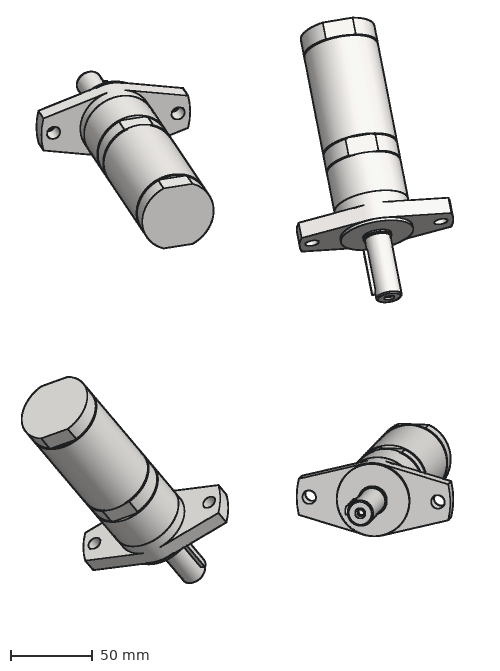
import cadquery as cq
import math

collar_start = 39.8
collar_step = 40.6
spigot_face = 41.9
flange_front = 43.8
flange_back = 54.1
housing_start = 61.8
waist_start = 87.9
waist_end = 100.1
tail_start = 165.8
overall_length = 177.5

shaft_diameter = 16.0
collar_small_diameter = 16.9
collar_large_diameter = 17.5
spigot_diameter = 45.0
flange_body_diameter = 45.8
housing_diameter = 46.0

ring_diameter = 45.0
ring_width = 0.5

across_flats = 42.0

shaft_chamfer = 0.9
center_hole_diameter = 4.0
center_hole_depth = 5.3
center_mouth_diameter = 6.4
drill_tip_angle = 118.0

key_start = 3.7
key_length = 30.0
key_width = 5.0
key_top = 10.0
key_bottom = 5.3

flange_span = 95.7
flange_side_angle = 15.0
bolt_hole_diameter = 8.3
bolt_hole_spacing = 80.0


def cylinder(start, end, diameter):
    """Solid cylinder on the X axis between two stations."""
    return cq.Workplane("YZ", origin=(start, 0, 0)).circle(diameter / 2).extrude(end - start)


def make_turned_body():
    """Shaft, collar, spigot, flange body and housing on one axis."""
    sections = [
        (collar_start, collar_step, collar_small_diameter),
        (collar_step, spigot_face, collar_large_diameter),
        (spigot_face, flange_front, spigot_diameter),
        (flange_front, housing_start, flange_body_diameter),
        (housing_start, overall_length, housing_diameter),
    ]
    body = cylinder(0, collar_start, shaft_diameter).faces("<X").chamfer(shaft_chamfer)
    for start, end, diameter in sections:
        body = body.union(cylinder(start, end, diameter))
    return body


def make_flange():
    """Diamond flange: sides tangent to the body, ends rounded about the motor axis."""
    thickness = flange_back - flange_front
    side_angle = math.radians(flange_side_angle)
    body_radius = flange_body_diameter / 2
    half_span = flange_span / 2
    tangent_y = body_radius * math.sin(side_angle)
    tangent_z = body_radius * math.cos(side_angle)
    tip_z = tangent_z - (half_span - tangent_y) * math.tan(side_angle)
    plane = cq.Workplane("YZ", origin=(flange_front, 0, 0))
    outline = [
        (tangent_y, tangent_z),
        (half_span, tip_z),
        (half_span, -tip_z),
        (tangent_y, -tangent_z),
        (-tangent_y, -tangent_z),
        (-half_span, -tip_z),
        (-half_span, tip_z),
        (-tangent_y, tangent_z),
    ]
    plate = plane.polyline(outline).close().extrude(thickness)
    round_blank = cylinder(flange_front, flange_back, flange_span)
    return plate.intersect(round_blank)


def make_bolt_holes():
    half_spacing = bolt_hole_spacing / 2
    plane = cq.Workplane("YZ", origin=(flange_front, 0, 0))
    centers = [(-half_spacing, 0), (half_spacing, 0)]
    return plane.pushPoints(centers).circle(bolt_hole_diameter / 2).extrude(flange_back - flange_front)


def make_ring_groove(start):
    end = start + ring_width
    return cylinder(start, end, 2 * housing_diameter).cut(cylinder(start, end, ring_diameter))


def make_wrench_flats(start, end):
    """Material outside the two flats, between two stations."""
    length = end - start
    stock = cq.Workplane("XY").box(length, flange_span, flange_span)
    core = cq.Workplane("XY").box(length, flange_span, across_flats)
    return stock.cut(core).translate(((start + end) / 2, 0, 0))


def make_key():
    center_x = key_start + key_length / 2
    return (
        cq.Workplane("XZ", origin=(center_x, key_bottom, 0))
        .slot2D(key_length, key_width)
        .extrude(-(key_top - key_bottom))
    )


def make_center_hole():
    """Drilled hole in the shaft tip with a 45-degree mouth and a conical bottom."""
    hole_radius = center_hole_diameter / 2
    mouth_radius = center_mouth_diameter / 2
    mouth_depth = mouth_radius - hole_radius
    tip_depth = center_hole_depth + hole_radius / math.tan(math.radians(drill_tip_angle / 2))
    profile = [
        (0, 0),
        (0, mouth_radius),
        (mouth_depth, hole_radius),
        (center_hole_depth, hole_radius),
        (tip_depth, 0),
    ]
    return cq.Workplane("XY").polyline(profile).close().revolve(360, (0, 0, 0), (1, 0, 0))


result = make_turned_body().union(make_flange()).cut(make_bolt_holes())
for ring_start in (waist_start, waist_end - ring_width, tail_start):
    result = result.cut(make_ring_groove(ring_start))
result = result.cut(make_wrench_flats(waist_start, waist_end))
result = result.cut(make_wrench_flats(tail_start + ring_width, overall_length))
result = result.union(make_key()).cut(make_center_hole())

result = result.translate((-overall_length / 2, 0, 0))